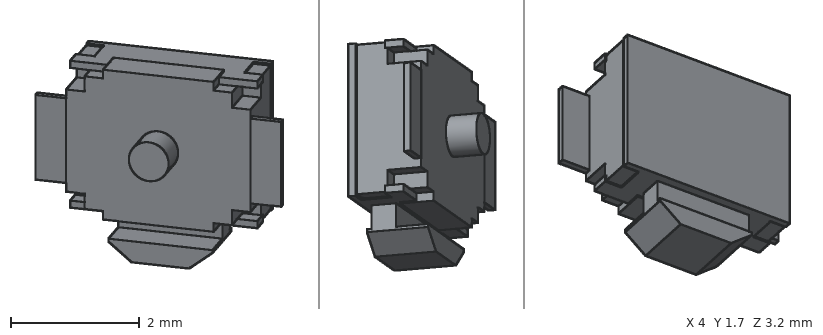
import cadquery as cq

body_front = 0.005
body_half_width = 1.5
body_half_height = 1.2
front_block_half_width = 0.9
front_block_half_height = 1.25
front_block_depth = 0.555
shoulder_half_height = 1.105
notch_half_width = 1.2
notch_half_height = 0.85

depth = 1.205
plate_thickness = 0.12
cover_half_height = shoulder_half_height + plate_thickness
flange_half_width = 1.22
ear_half_width = 1.525
ear_front = 0.29
ear_rear = 0.59
plate_front = depth - plate_thickness

groove_width = 0.02
groove_depth = 0.025

button_radius = 0.325
button_tip = -0.495

span = 4.0
terminal_height = 1.41
terminal_thickness = 0.11

tab_half_width = 0.85
stem_front = 0.64
stem_rear = 1.05
foot_front = 0.115
foot_rear = 1.125
foot_top = -1.6
foot_taper_top = -1.65
total_height = 3.2
foot_bottom = front_block_half_height - total_height
foot_tip_half_width = 0.47


def centered_block(half_width, half_height, front, rear):
    """Block symmetric about X = 0 and Z = 0, from Y = front to Y = rear."""
    return (
        cq.Workplane("XY")
        .box(2 * half_width, rear - front, 2 * half_height)
        .translate((0, (front + rear) / 2, 0))
    )


def make_housing():
    groove_front = plate_front - groove_width
    front_center = centered_block(
        front_block_half_width, front_block_half_height, body_front, front_block_depth
    )
    shoulders = centered_block(notch_half_width, shoulder_half_height, body_front, front_block_depth)
    waist = centered_block(body_half_width, notch_half_height, body_front, front_block_depth)
    rear = centered_block(body_half_width, body_half_height, front_block_depth, groove_front)
    groove_core = centered_block(
        body_half_width - groove_depth, body_half_height - groove_depth, groove_front, plate_front
    )
    return front_center.union(shoulders).union(waist).union(rear).union(groove_core)


def make_cover():
    plate = centered_block(body_half_width, cover_half_height, plate_front, depth)
    flanges = centered_block(flange_half_width, cover_half_height, ear_front, plate_front)
    ears = centered_block(ear_half_width, cover_half_height, ear_front, ear_rear)
    inside = centered_block(ear_half_width, shoulder_half_height, ear_front, plate_front)
    return plate.union(flanges.union(ears).cut(inside))


def make_button():
    return (
        cq.Workplane("XZ", origin=(0, body_front, 0))
        .circle(button_radius)
        .extrude(body_front - button_tip)
    )


def make_terminals():
    strip = centered_block(span / 2, terminal_height / 2, 0, terminal_thickness)
    between = centered_block(body_half_width, terminal_height / 2, 0, terminal_thickness)
    return strip.cut(between)


def make_tab():
    stem_top = -shoulder_half_height
    stem = (
        cq.Workplane("XZ", origin=(0, stem_front, 0))
        .moveTo(0, (stem_top + foot_top) / 2)
        .rect(2 * tab_half_width, stem_top - foot_top)
        .extrude(stem_front - stem_rear)
    )
    foot = (
        cq.Workplane("XZ", origin=(0, foot_front, 0))
        .polyline([
            (-tab_half_width, foot_top),
            (tab_half_width, foot_top),
            (tab_half_width, foot_taper_top),
            (foot_tip_half_width, foot_bottom),
            (-foot_tip_half_width, foot_bottom),
            (-tab_half_width, foot_taper_top),
        ])
        .close()
        .extrude(foot_front - foot_rear)
    )
    return stem.union(foot)


result = make_housing().union(make_cover()).union(make_terminals()).union(make_tab()).union(make_button())